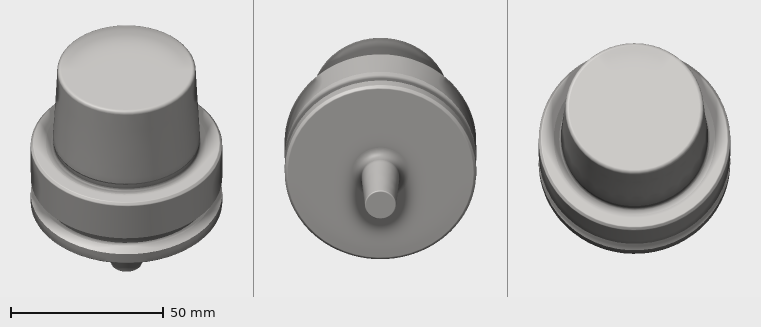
import cadquery as cq

total_height = 82.9
flange_bottom = 24.95
flange_top = 51.0
groove_bottom_outer = 29.5
groove_bottom_inner = 31.1
groove_top_inner = 34.7
groove_top_outer = 36.3
neck_top = 52.9
taper_bottom = 53.55

flange_radius = 31.5
groove_wall_radius = 28.9
groove_floor_radius = 27.5
neck_radius = 23.95
taper_bottom_radius = 24.2
taper_top_radius = 22.7
recess_radius = 26.5
pin_tip_radius = 5.1
pin_base_radius = 6.5

recess_depth = 0.5
taper_fillet = 1.25
rim_chamfer = 0.8
rim_corner_fillet = 0.5
neck_root_fillet = 0.7
pin_root_fillet = 3.0
pin_tip_fillet = 0.4


def fillet_circle(body, radius, height, fillet_radius):
    """Round the circular edge with the given radius and height."""
    tolerance = 0.01
    edges = body.edges("%CIRCLE").filter(
        lambda edge: abs(edge.radius() - radius) < tolerance
        and abs(edge.Center().z - height) < tolerance
    )
    return edges.fillet(fillet_radius)


profile = [
    (0, 0),
    (pin_tip_radius, 0),
    (pin_base_radius, flange_bottom),
    (flange_radius - rim_chamfer, flange_bottom),
    (flange_radius, flange_bottom + rim_chamfer),
    (flange_radius, groove_bottom_outer),
    (groove_wall_radius, groove_bottom_inner),
    (groove_floor_radius, groove_bottom_inner),
    (groove_floor_radius, groove_top_inner),
    (groove_wall_radius, groove_top_inner),
    (flange_radius, groove_top_outer),
    (flange_radius, flange_top - rim_chamfer),
    (flange_radius - rim_chamfer, flange_top),
    (recess_radius, flange_top),
    (neck_radius, flange_top - recess_depth),
    (neck_radius, neck_top),
    (taper_bottom_radius, taper_bottom),
    (taper_top_radius, total_height),
    (0, total_height),
]
result = cq.Workplane("XZ").polyline(profile).close().revolve(360, (0, 0, 0), (0, 1, 0))

result = fillet_circle(result, taper_top_radius, total_height, taper_fillet)
for face_height, inward in [(flange_bottom, 1), (flange_top, -1)]:
    side_height = face_height + inward * rim_chamfer
    result = fillet_circle(result, flange_radius, side_height, rim_corner_fillet)
    result = fillet_circle(result, flange_radius - rim_chamfer, face_height, rim_corner_fillet)
result = fillet_circle(result, neck_radius, flange_top - recess_depth, neck_root_fillet)
result = fillet_circle(result, pin_base_radius, flange_bottom, pin_root_fillet)
result = fillet_circle(result, pin_tip_radius, 0, pin_tip_fillet)